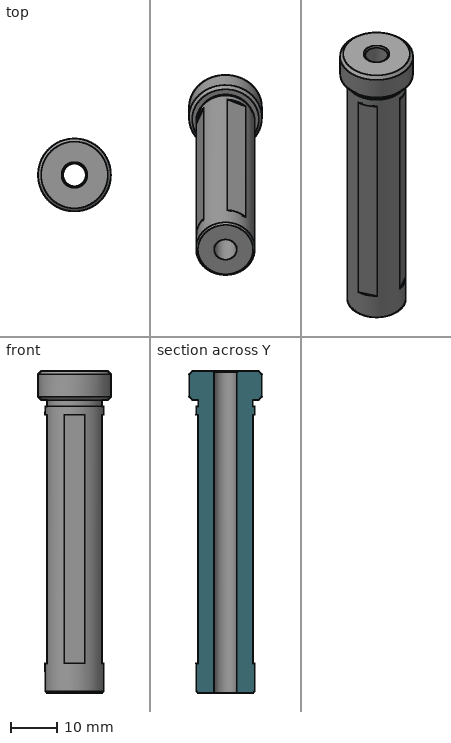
import cadquery as cq

total_length = 69.85

head_diameter = 15.85
head_height = 6.35
head_chamfer = 0.7

shank_diameter = 12.8
shank_chamfer = 0.4
neck_diameter = 12.0
neck_height = 1.3

flat_count = 4
flat_distance = neck_diameter / 2
flat_bottom = 6.4
flat_length = 53.85

bore_diameter = 4.9
bore_chamfer = 0.35

neck_top = total_length - head_height
neck_bottom = neck_top - neck_height


def cylinder(diameter, bottom, height):
    return cq.Workplane("XY").workplane(offset=bottom).circle(diameter / 2).extrude(height)


def make_head():
    head = cylinder(head_diameter, neck_top, head_height)
    return head.faces("<Z or >Z").edges().chamfer(head_chamfer)


def make_shank():
    shank = cylinder(shank_diameter, 0, neck_bottom)
    return shank.faces("<Z").edges().chamfer(shank_chamfer)


def make_flat_cutter(angle):
    """Block whose inner face is the flat, turned about the pin axis."""
    block = cq.Workplane("XY").box(
        shank_diameter, shank_diameter, flat_length, centered=(False, True, False)
    )
    block = block.translate((flat_distance, 0, flat_bottom))
    return block.rotate((0, 0, 0), (0, 0, 1), angle)


shank = make_shank()
for index in range(flat_count):
    shank = shank.cut(make_flat_cutter(index * 360 / flat_count))

neck = cylinder(neck_diameter, neck_bottom, neck_height)
pin = shank.union(neck).union(make_head())

bored_pin = pin.cut(cylinder(bore_diameter, 0, total_length))
bore_rim = cq.selectors.RadiusNthSelector(0)
result = bored_pin.faces(">Z").edges(bore_rim).chamfer(bore_chamfer)